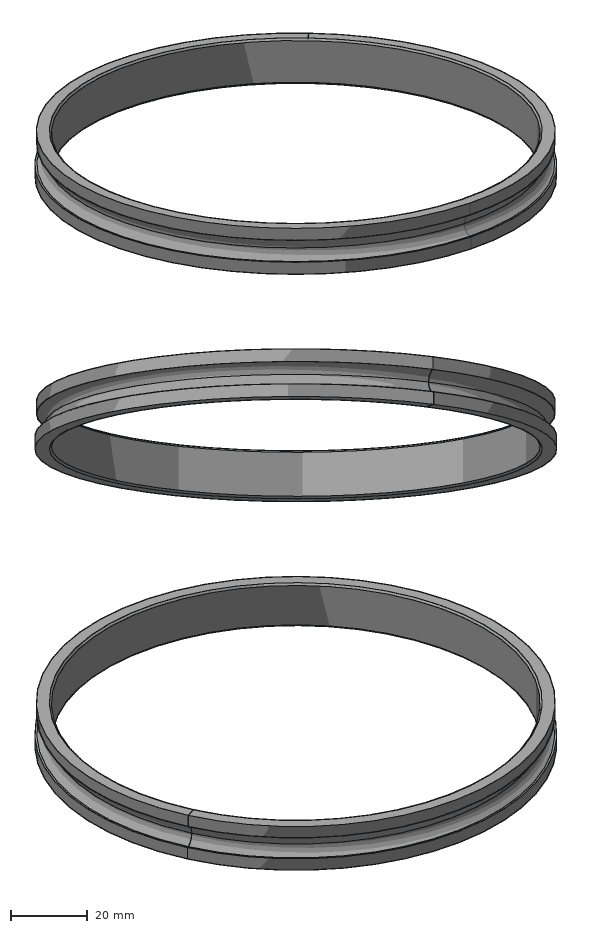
import cadquery as cq
import math

height = 12.7
lower_flange_radius = 67.8
upper_flange_radius = 67.4
flange_height = 3.4
mid_height = height / 2

groove_edge_radius = 67.2
groove_floor_radius = 65.2
groove_half_height = mid_height - flange_height
groove_depth = groove_edge_radius - groove_floor_radius
groove_arc_radius = (groove_half_height**2 + groove_depth**2) / (2 * groove_depth)
groove_arc_center = groove_floor_radius + groove_arc_radius

bore_radius = 63.4
sleeve_chamfer = 0.5
sleeve_outer_radius = bore_radius + sleeve_chamfer

slit_angle = 135
slit_width = 0.07


def make_slit_cutter():
    """Thin radial wall through one side of the outer rings."""
    length = 2 * (lower_flange_radius - sleeve_outer_radius)
    middle_radius = (lower_flange_radius + sleeve_outer_radius) / 2
    return (
        cq.Workplane("XY")
        .box(length, slit_width, 2 * height, centered=(True, True, False))
        .translate((middle_radius, 0, -mid_height))
        .rotate((0, 0, 0), (0, 0, 1), slit_angle)
    )


def make_split_ring(flange_radius, outer_z, side):
    """Slit ring with a flange at outer_z and half of the groove; side is +1 above, -1 below."""
    flange_inner_z = mid_height + side * groove_half_height

    half_arc_angle = math.asin(groove_half_height / groove_arc_radius) / 2
    arc_point = (
        groove_arc_center - groove_arc_radius * math.cos(half_arc_angle),
        mid_height + side * groove_arc_radius * math.sin(half_arc_angle),
    )
    ring = (
        cq.Workplane("XZ")
        .moveTo(sleeve_outer_radius, outer_z)
        .lineTo(flange_radius, outer_z)
        .lineTo(flange_radius, flange_inner_z)
        .lineTo(groove_edge_radius, flange_inner_z)
        .threePointArc(arc_point, (groove_floor_radius, mid_height))
        .lineTo(sleeve_outer_radius, mid_height)
        .close()
        .revolve(360, (0, 0, 0), (0, 1, 0))
    )
    return ring.cut(make_slit_cutter()).solids()


def make_sleeve():
    """Uncut liner whose bore is chamfered at both ends across the full wall."""
    profile = [
        (sleeve_outer_radius, 0),
        (sleeve_outer_radius, height),
        (bore_radius, height - sleeve_chamfer),
        (bore_radius, sleeve_chamfer),
    ]
    return cq.Workplane("XZ").polyline(profile).close().revolve(360, (0, 0, 0), (0, 1, 0))


lower_ring = make_split_ring(lower_flange_radius, 0, -1)
upper_ring = make_split_ring(upper_flange_radius, height, 1)
sleeve = make_sleeve()

result = cq.Compound.makeCompound([lower_ring.val(), upper_ring.val(), sleeve.val()])